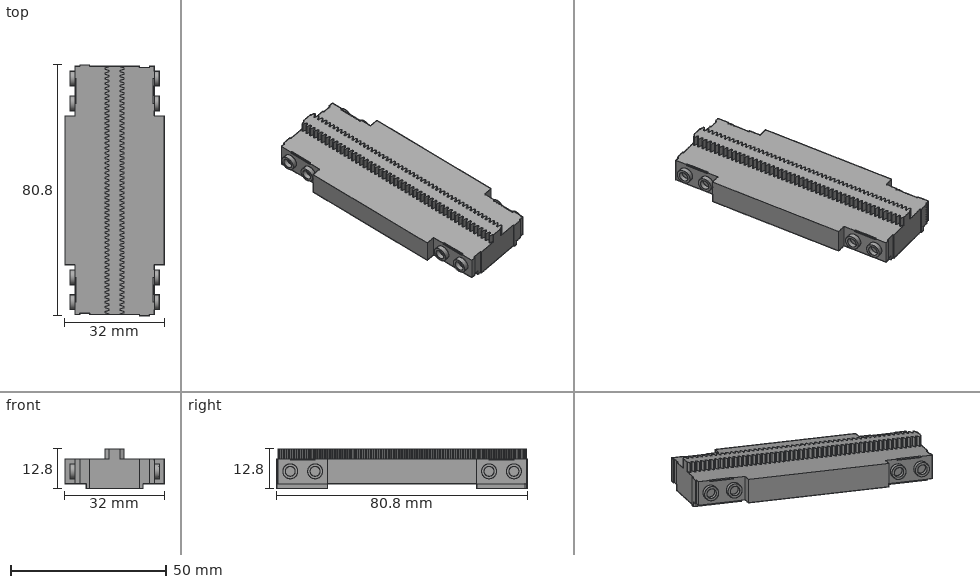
import cadquery as cq

PLATE_HEIGHT = 8.0
END_WIDTH = 25.6
LENGTH = 80.0
MIDDLE_WIDTH = 32.0
MIDDLE_LENGTH = 48.0

FOOT_WIDTH = 18.4
FOOT_HEIGHT = 1.6
FOOT_LENGTH = (LENGTH - MIDDLE_LENGTH) / 2

KEY_WIDTH = 3.2
KEY_OFFSET = 9.6
KEY_DEPTH = 0.4

RACK_HEIGHT = 3.2
TOOTH_COUNT = 50
TOOTH_PITCH = LENGTH / TOOTH_COUNT
RACK_TIP_X = 3.1
RACK_ROOT_X = 1.8
TIP_WIDTH = 0.38
ROOT_GAP = 0.42

STUD_DIAMETER = 4.8
STUD_BORE = 3.2
STUD_LENGTH = 1.6
STUD_SPACING = 8.0
STUD_Y = [MIDDLE_LENGTH / 2 + STUD_SPACING / 2, LENGTH / 2 - STUD_SPACING / 2]

NOTCH_SIZE = 0.4

BOTTOM_ALIGNED = (True, True, False)


def block(width, length, height, x=0.0, y=0.0, z=0.0):
    """Box centred on (x, y) and standing on height z."""
    return cq.Workplane("XY").box(width, length, height, centered=BOTTOM_ALIGNED).translate((x, y, z))


def plate_with_feet():
    """Cross-shaped plate with a foot under each narrow end."""
    body = block(END_WIDTH, LENGTH, PLATE_HEIGHT)
    body = body.union(block(MIDDLE_WIDTH, MIDDLE_LENGTH, PLATE_HEIGHT))
    foot_y = (LENGTH - FOOT_LENGTH) / 2
    for end in (-1, 1):
        body = body.union(block(FOOT_WIDTH, FOOT_LENGTH, FOOT_HEIGHT, y=end * foot_y, z=-FOOT_HEIGHT))
    return body


def key_section(depth, x, y):
    """Key shape: full width over the plate height, ending flush with the foot side below it."""
    foot_part_width = FOOT_WIDTH / 2 - (KEY_OFFSET - KEY_WIDTH / 2)
    side = 1 if x > 0 else -1
    foot_part_x = side * (FOOT_WIDTH - foot_part_width) / 2
    upper = block(KEY_WIDTH, depth, PLATE_HEIGHT, x, y)
    lower = block(foot_part_width, depth, FOOT_HEIGHT, foot_part_x, y, -FOOT_HEIGHT)
    return upper.union(lower)


def add_keys(body):
    """At each end, one key stands out and a keyway is sunk on the opposite side."""
    for end in (-1, 1):
        key_y = end * (LENGTH + KEY_DEPTH) / 2
        keyway_y = end * (LENGTH - KEY_DEPTH) / 2
        body = body.union(key_section(KEY_DEPTH, -end * KEY_OFFSET, key_y))
        body = body.cut(key_section(KEY_DEPTH, end * KEY_OFFSET, keyway_y))
    return body


def rack():
    """Bar with trapezoidal teeth along both long sides."""
    flank = (TOOTH_PITCH - TIP_WIDTH - ROOT_GAP) / 2
    right_side = [(RACK_ROOT_X, -LENGTH / 2)]
    for tooth in range(TOOTH_COUNT):
        start = -LENGTH / 2 + tooth * TOOTH_PITCH + ROOT_GAP / 2
        right_side.append((RACK_ROOT_X, start))
        right_side.append((RACK_TIP_X, start + flank))
        right_side.append((RACK_TIP_X, start + flank + TIP_WIDTH))
        right_side.append((RACK_ROOT_X, start + 2 * flank + TIP_WIDTH))
    right_side.append((RACK_ROOT_X, LENGTH / 2))
    left_side = [(-x, y) for x, y in reversed(right_side)]
    outline = cq.Workplane("XY").workplane(offset=PLATE_HEIGHT).polyline(right_side + left_side)
    return outline.close().extrude(RACK_HEIGHT)


def add_studs(body):
    """A pair of hollow studs on each side of both narrow ends."""
    for side in (-1, 1):
        for end in (-1, 1):
            centres = [(end * y, PLATE_HEIGHT / 2) for y in STUD_Y]
            face = cq.Workplane("YZ").workplane(offset=side * END_WIDTH / 2).pushPoints(centres)
            tube = face.circle(STUD_DIAMETER / 2).circle(STUD_BORE / 2).extrude(side * STUD_LENGTH)
            body = body.union(tube)
    return body


def cut_notches(body):
    """Square notches in the top edges, running from one stud axis to the next."""
    notch_x = (END_WIDTH - NOTCH_SIZE) / 2
    notch_y = sum(STUD_Y) / len(STUD_Y)
    for side in (-1, 1):
        for end in (-1, 1):
            notch = block(
                NOTCH_SIZE, STUD_SPACING, NOTCH_SIZE,
                side * notch_x, end * notch_y, PLATE_HEIGHT - NOTCH_SIZE,
            )
            body = body.cut(notch)
    return body


result = add_keys(plate_with_feet())
result = cut_notches(add_studs(result))
result = result.union(rack())